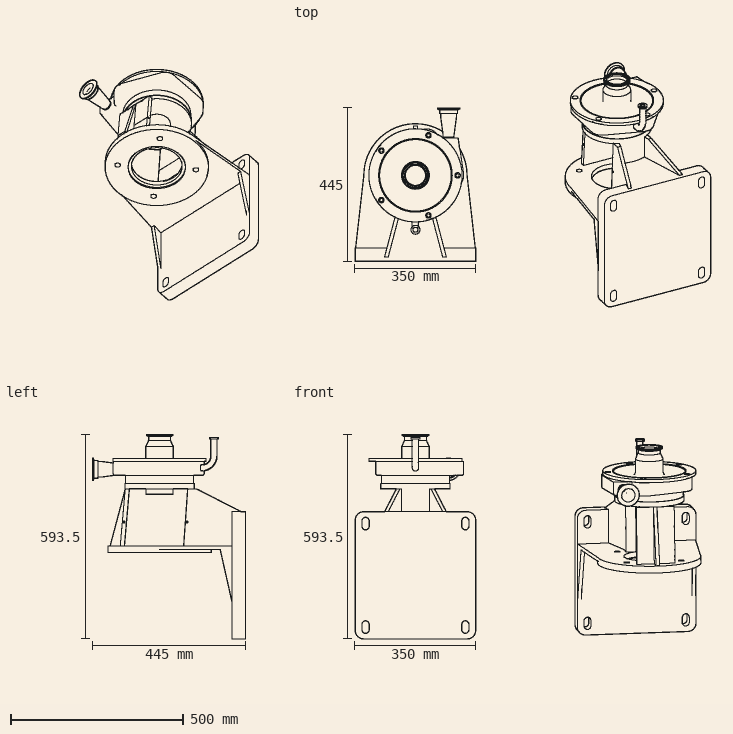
import cadquery as cq
import math

OVERLAP = 3.0

WALL_WIDTH = 350.0
WALL_HEIGHT = 370.0
WALL_THICK = 40.0
WALL_FRONT_Y = -250.0
WALL_BACK_Y = WALL_FRONT_Y + WALL_THICK
WALL_CORNER_R = 25.0
SLOT_LENGTH = 35.5
SLOT_WIDTH = 20.0
SLOT_PITCH_X = 289.5
SLOT_PITCH_Z = 300.5

TABLE_TOP_Z = 270.5
TABLE_R = 150.0
TABLE_DISC_THICK = 20.0
TABLE_SHEET_THICK = 11.0
TABLE_HALF_WIDTH = 174.0
TABLE_BORE_R = 73.5
TABLE_REGISTER_R = 83.0
TABLE_REGISTER_DEPTH = 5.0
TABLE_BOLT_CIRCLE_R = 114.0
TABLE_BOLT_D = 16.0
TABLE_BOLTS = 4
TABLE_BOLT_START_ANGLE = 45
GUSSET_REACH = 34.5
GUSSET_FOOT_Z = 107.0
RIB_THICK = 10.5

LEG_TOP_Z = 435.5
LEG_HALF_WIDTH = 56.0
FRONT_INNER_TOP_Y = -81.5
FRONT_INNER_FOOT_Y = -69.5
FRONT_BEND_Y = -108.0
REAR_INNER_TOP_Y = 87.0
REAR_INNER_FOOT_Y = 101.5
REAR_THICK = 12.5
REAR_RIB_FOOT_Y = 143.5
RIB_TIP_X = 84.0
RIB_TIP_Y = -237.0
RIB_ROOT_X = 35.5
PIN_HOLE_D = 5.5
PIN_HOLE_Z = 339.5
PIN_HOLE_YS = (-79.5, 103.0)

BEARING_LOWER_R = 101.0
BEARING_UPPER_R = 99.0
BEARING_STEP_Z = 451.0
HUB_R = 40.0
HUB_BOTTOM_Z = 419.5
HUB_FILLET = 2.5

VOLUTE_BOTTOM_Z = 475.0
VOLUTE_TOP_Z = 515.0
VOLUTE_CORNERS = 5
VOLUTE_CORNER_R = 35.0
VOLUTE_CENTRE_R = 100.0
VOLUTE_ARM_CENTRE_R = 105.0
VOLUTE_FILLET = 6.5
ARM_FACE_Y = 108.5
ARM_OUTER_X = 124.0
ARM_INNER_X = 68.0

COVER_R = 135.5
COVER_TOP_Z = 524.0
DISH_RIM_R = 107.0
DISH_LEDGE_WIDTH = 3.0
DISH_LEDGE_DEPTH = 2.0
DISH_WALL_FOOT_R = 95.0
DISH_WALL_FOOT_Z = 512.0
DISH_FLOOR_R = 83.5
DISH_FLOOR_Z = 507.5
COVER_BOLT_CIRCLE_R = 122.0
COVER_BOLT_HEAD_D = 16.0
COVER_BOLT_D = 9.5
COVER_BOLT_DEPTH = 24.0

INLET_TOP_Z = 593.5
INLET_R = 40.5
INLET_ROOT_R = 53.5
INLET_SHOULDER_Z = 558.5
INLET_NECK_Z = 576.0
INLET_NECK_R = 32.0
INLET_FLANGE_R = 38.5
INLET_FLANGE_THICK = 3.0
INLET_FLANGE_TAPER = 3.5
INLET_GROOVE_OUTER_R = 35.5
INLET_GROOVE_INNER_R = 32.0
INLET_GROOVE_DEPTH = 1.0
INLET_BORE_R = 29.0
INLET_BORE_BOTTOM_Z = 486.5

OUTLET_X = 96.0
OUTLET_Z = 492.5
OUTLET_END_Y = 195.0
OUTLET_SPIGOT_R = 14.0
OUTLET_ROOT_R = 15.5
OUTLET_ROOT_Y = ARM_FACE_Y + 3.0
OUTLET_CONE_R = 23.0
OUTLET_CONE_END_Y = 168.5
OUTLET_NECK_Y = 179.0
OUTLET_NECK_R = 26.0
OUTLET_FLANGE_R = 32.5
OUTLET_FLANGE_THICK = 3.0
OUTLET_FLANGE_TAPER = 2.5
OUTLET_WALL = 3.5
OUTLET_BORE_START_Y = ARM_FACE_Y - 18.0

DRAIN_R = 9.5
DRAIN_BORE_R = 7.0
DRAIN_Y = -158.0
DRAIN_Z = 497.0
DRAIN_BEND_R = 34.5
DRAIN_TOP_Z = 585.0
DRAIN_FLANGE_R = 13.0
DRAIN_FLANGE_THICK = 5.0
DRAIN_ROOT_Y = -116.0


def cylinder(radius, bottom_z, top_z):
    return cq.Workplane("XY").workplane(offset=bottom_z).circle(radius).extrude(top_z - bottom_z)


def prism_across_x(points, width):
    """Extrude a (y, z) outline evenly to both sides of X = 0."""
    return cq.Workplane("YZ").polyline(points).close().extrude(width / 2, both=True)


def tangent_point(point, centre, radius):
    """Touch point of the tangent from point to a circle, on the circle's +X side."""
    dx = point[0] - centre[0]
    dy = point[1] - centre[1]
    swing = math.acos(radius / math.hypot(dx, dy))
    heading = math.atan2(dy, dx)
    touches = [
        (centre[0] + radius * math.cos(angle), centre[1] + radius * math.sin(angle))
        for angle in (heading - swing, heading + swing)
    ]
    return max(touches)


def wall_plate():
    centre = (0, WALL_FRONT_Y + WALL_THICK / 2, WALL_HEIGHT / 2)
    plate = (
        cq.Workplane("XY", origin=centre)
        .box(WALL_WIDTH, WALL_THICK, WALL_HEIGHT)
        .edges("|Y")
        .fillet(WALL_CORNER_R)
    )
    slots = (
        cq.Workplane("XZ", origin=centre)
        .rarray(SLOT_PITCH_X, SLOT_PITCH_Z, 2, 2)
        .slot2D(SLOT_LENGTH, SLOT_WIDTH, 90)
        .extrude(WALL_THICK, both=True)
    )
    return plate.cut(slots)


def table():
    sheet_z = TABLE_TOP_Z - TABLE_SHEET_THICK
    plan = [
        (-TABLE_HALF_WIDTH, WALL_BACK_Y - OVERLAP),
        (TABLE_HALF_WIDTH, WALL_BACK_Y - OVERLAP),
        (TABLE_HALF_WIDTH, WALL_BACK_Y),
        (TABLE_R, 0),
        (-TABLE_R, 0),
        (-TABLE_HALF_WIDTH, WALL_BACK_Y),
    ]
    outline = cq.Workplane("XY").polyline(plan).close()
    sheet = outline.extrude(TABLE_SHEET_THICK).translate((0, 0, sheet_z))
    disc_bottom_z = TABLE_TOP_Z - TABLE_DISC_THICK
    disc = cylinder(TABLE_R, disc_bottom_z, TABLE_TOP_Z)

    triangle = [
        (WALL_BACK_Y - OVERLAP, TABLE_TOP_Z - OVERLAP),
        (WALL_BACK_Y + GUSSET_REACH, TABLE_TOP_Z - OVERLAP),
        (WALL_BACK_Y + GUSSET_REACH, sheet_z),
        (WALL_BACK_Y, GUSSET_FOOT_Z),
        (WALL_BACK_Y - OVERLAP, GUSSET_FOOT_Z),
    ]
    skirt = cq.Workplane("XY").polyline(plan).close().extrude(TABLE_TOP_Z)
    core_plan = [(x - math.copysign(RIB_THICK, x), y) for x, y in plan]
    core = cq.Workplane("XY").polyline(core_plan).close().extrude(TABLE_TOP_Z)
    gussets = prism_across_x(triangle, 2 * TABLE_HALF_WIDTH).intersect(skirt.cut(core))

    register = cylinder(TABLE_REGISTER_R, disc_bottom_z, disc_bottom_z + TABLE_REGISTER_DEPTH)
    bore = cylinder(TABLE_BORE_R, disc_bottom_z, TABLE_TOP_Z).union(register)
    bolt_holes = (
        cq.Workplane("XY")
        .polarArray(TABLE_BOLT_CIRCLE_R, TABLE_BOLT_START_ANGLE, 360, TABLE_BOLTS)
        .circle(TABLE_BOLT_D / 2)
        .extrude(TABLE_TOP_Z)
    )
    return sheet.union(disc).union(gussets).cut(bore).cut(bolt_holes)


def front_legs():
    """Curved front wall, two splayed ribs to the wall plate and a block filling the gap between them."""
    foot_z = TABLE_TOP_Z - OVERLAP
    top_z = LEG_TOP_Z + OVERLAP
    half_rib = RIB_THICK / 2
    splay = (RIB_TIP_X + half_rib - LEG_HALF_WIDTH) / (FRONT_BEND_Y - RIB_TIP_Y)
    root_y = RIB_TIP_Y + (RIB_TIP_X - half_rib - RIB_ROOT_X) / splay
    rib_plan = [
        (LEG_HALF_WIDTH, 0),
        (LEG_HALF_WIDTH, FRONT_BEND_Y),
        (RIB_TIP_X + half_rib, RIB_TIP_Y),
        (RIB_TIP_X - half_rib, RIB_TIP_Y),
        (RIB_ROOT_X, root_y),
        (RIB_ROOT_X, 0),
    ]
    base = cq.Workplane("XY").workplane(offset=foot_z)
    rib = base.polyline(rib_plan).close().extrude(top_z - foot_z)
    wall = cylinder(BEARING_LOWER_R, foot_z, top_z).intersect(
        cq.Workplane("XY").box(2 * LEG_HALF_WIDTH, 2 * BEARING_LOWER_R, 2 * top_z)
    )
    side_profile = [
        (FRONT_INNER_FOOT_Y, foot_z),
        (RIB_TIP_Y, foot_z),
        (RIB_TIP_Y, WALL_HEIGHT),
        (FRONT_BEND_Y, LEG_TOP_Z),
        (FRONT_INNER_TOP_Y, LEG_TOP_Z),
    ]
    fill_plan = [
        (-RIB_ROOT_X, root_y),
        (-RIB_TIP_X, RIB_TIP_Y),
        (RIB_TIP_X, RIB_TIP_Y),
        (RIB_ROOT_X, root_y),
    ]
    fill = base.polyline(fill_plan).close().extrude(WALL_HEIGHT - foot_z)
    legs = wall.union(fill).union(rib).union(rib.mirror("YZ"))
    return legs.intersect(prism_across_x(side_profile, WALL_WIDTH))


def rear_leg():
    """Leaning rear wall with one triangular rib behind it."""
    wall_profile = [
        (REAR_INNER_FOOT_Y, TABLE_TOP_Z),
        (REAR_INNER_FOOT_Y + REAR_THICK, TABLE_TOP_Z),
        (REAR_INNER_TOP_Y + REAR_THICK, LEG_TOP_Z),
        (REAR_INNER_TOP_Y, LEG_TOP_Z),
    ]
    rib_profile = [
        (REAR_INNER_FOOT_Y, TABLE_TOP_Z),
        (REAR_RIB_FOOT_Y, TABLE_TOP_Z),
        (REAR_INNER_TOP_Y + REAR_THICK, LEG_TOP_Z),
        (REAR_INNER_TOP_Y, LEG_TOP_Z),
    ]
    wall = prism_across_x(wall_profile, 2 * LEG_HALF_WIDTH)
    return wall.union(prism_across_x(rib_profile, RIB_THICK))


def pin_holes():
    return (
        cq.Workplane("YZ")
        .pushPoints([(y, PIN_HOLE_Z) for y in PIN_HOLE_YS])
        .circle(PIN_HOLE_D / 2)
        .extrude(LEG_HALF_WIDTH + OVERLAP, both=True)
    )


def bearing_housing():
    hub = cylinder(HUB_R, HUB_BOTTOM_Z, BEARING_STEP_Z).faces("<Z").edges().fillet(HUB_FILLET)
    lower = cylinder(BEARING_LOWER_R, LEG_TOP_Z, BEARING_STEP_Z)
    upper = cylinder(BEARING_UPPER_R, BEARING_STEP_Z, VOLUTE_BOTTOM_Z)
    return lower.union(upper).union(hub)


def volute():
    height = VOLUTE_TOP_Z - VOLUTE_BOTTOM_Z
    centres = []
    for i in range(VOLUTE_CORNERS):
        angle = 2 * math.pi * i / VOLUTE_CORNERS
        radius = VOLUTE_ARM_CENTRE_R if i < 2 else VOLUTE_CENTRE_R
        centres.append((radius * math.cos(angle), radius * math.sin(angle)))
    base = cq.Workplane("XY").workplane(offset=VOLUTE_BOTTOM_Z)
    casing = base.polyline(centres).close().offset2D(VOLUTE_CORNER_R, "arc").extrude(height)
    arm_corner = (ARM_OUTER_X, ARM_FACE_Y)
    arm_plan = [
        (0, 0),
        centres[0],
        tangent_point(arm_corner, centres[0], VOLUTE_CORNER_R),
        arm_corner,
        (ARM_INNER_X, ARM_FACE_Y),
    ]
    arm = base.polyline(arm_plan).close().extrude(height)
    return casing.union(arm).faces("<Z").edges().fillet(VOLUTE_FILLET)


def cover_bolt_pattern(diameter, depth):
    return (
        cq.Workplane("XY")
        .workplane(offset=COVER_TOP_Z)
        .polarArray(COVER_BOLT_CIRCLE_R, 0, 360, VOLUTE_CORNERS)
        .circle(diameter / 2)
        .extrude(-depth)
    )


def cover_recess():
    """Dish and counterbored bolt holes, to be cut from the cover and volute."""
    ledge_z = COVER_TOP_Z - DISH_LEDGE_DEPTH
    dish = (
        cq.Workplane("XZ")
        .moveTo(0, COVER_TOP_Z)
        .lineTo(DISH_RIM_R, COVER_TOP_Z)
        .lineTo(DISH_RIM_R, ledge_z)
        .lineTo(DISH_RIM_R - DISH_LEDGE_WIDTH, ledge_z)
        .lineTo(DISH_WALL_FOOT_R, DISH_WALL_FOOT_Z)
        .tangentArcPoint((DISH_FLOOR_R, DISH_FLOOR_Z), relative=False)
        .lineTo(0, DISH_FLOOR_Z)
        .close()
        .revolve(360, (0, 0, 0), (0, 1, 0))
    )
    heads = cover_bolt_pattern(COVER_BOLT_HEAD_D, COVER_TOP_Z - VOLUTE_TOP_Z)
    shanks = cover_bolt_pattern(COVER_BOLT_D, COVER_BOLT_DEPTH)
    return dish.union(heads).union(shanks)


def inlet():
    flange_z = INLET_TOP_Z - INLET_FLANGE_THICK
    root_fillet = INLET_ROOT_R - INLET_R
    root_top_z = DISH_FLOOR_Z + root_fillet
    diagonal = root_fillet * (1 - math.sqrt(0.5))
    return (
        cq.Workplane("XZ")
        .moveTo(0, DISH_FLOOR_Z - OVERLAP)
        .lineTo(INLET_ROOT_R, DISH_FLOOR_Z - OVERLAP)
        .lineTo(INLET_ROOT_R, DISH_FLOOR_Z)
        .threePointArc((INLET_R + diagonal, DISH_FLOOR_Z + diagonal), (INLET_R, root_top_z))
        .lineTo(INLET_R, INLET_SHOULDER_Z)
        .lineTo(INLET_NECK_R, INLET_NECK_Z)
        .lineTo(INLET_NECK_R, flange_z - INLET_FLANGE_TAPER)
        .lineTo(INLET_FLANGE_R, flange_z)
        .lineTo(INLET_FLANGE_R, INLET_TOP_Z)
        .lineTo(0, INLET_TOP_Z)
        .close()
        .revolve(360, (0, 0, 0), (0, 1, 0))
    )


def inlet_cuts():
    """Inlet bore and the gasket groove in the inlet flange face."""
    bore = cylinder(INLET_BORE_R, INLET_BORE_BOTTOM_Z, INLET_TOP_Z)
    groove = (
        cq.Workplane("XY")
        .workplane(offset=INLET_TOP_Z)
        .circle(INLET_GROOVE_OUTER_R)
        .circle(INLET_GROOVE_INNER_R)
        .extrude(-INLET_GROOVE_DEPTH)
    )
    return bore.union(groove)


def outlet_profile(points):
    """Revolve (radius, y) points about the outlet axis."""
    outline = cq.Workplane("XY", origin=(OUTLET_X, 0, OUTLET_Z)).polyline(points).close()
    return outline.revolve(360, (0, 0, 0), (0, 1, 0))


def outlet():
    flange_y = OUTLET_END_Y - OUTLET_FLANGE_THICK
    return outlet_profile([
        (0, ARM_FACE_Y - OVERLAP),
        (OUTLET_SPIGOT_R, ARM_FACE_Y - OVERLAP),
        (OUTLET_SPIGOT_R, OUTLET_ROOT_Y),
        (OUTLET_ROOT_R, OUTLET_ROOT_Y),
        (OUTLET_CONE_R, OUTLET_CONE_END_Y),
        (OUTLET_CONE_R, OUTLET_NECK_Y),
        (OUTLET_NECK_R, OUTLET_NECK_Y),
        (OUTLET_NECK_R, flange_y - OUTLET_FLANGE_TAPER),
        (OUTLET_FLANGE_R, flange_y),
        (OUTLET_FLANGE_R, OUTLET_END_Y),
        (0, OUTLET_END_Y),
    ])


def outlet_bore():
    root_r = OUTLET_SPIGOT_R - OUTLET_WALL
    mouth_r = OUTLET_CONE_R - OUTLET_WALL
    return outlet_profile([
        (0, OUTLET_BORE_START_Y),
        (root_r, OUTLET_BORE_START_Y),
        (root_r, OUTLET_ROOT_Y),
        (mouth_r, OUTLET_CONE_END_Y),
        (mouth_r, OUTLET_END_Y),
        (0, OUTLET_END_Y),
    ])


def drain_sweep(radius):
    bend_y = DRAIN_Y + DRAIN_BEND_R
    bend_z = DRAIN_Z + DRAIN_BEND_R
    reach = DRAIN_BEND_R * math.sqrt(0.5)
    path = (
        cq.Workplane("YZ")
        .moveTo(DRAIN_Y, DRAIN_TOP_Z)
        .lineTo(DRAIN_Y, bend_z)
        .threePointArc((bend_y - reach, bend_z - reach), (bend_y, DRAIN_Z))
        .lineTo(DRAIN_ROOT_Y, DRAIN_Z)
    )
    return cq.Workplane("XY", origin=(0, DRAIN_Y, DRAIN_TOP_Z)).circle(radius).sweep(path)


def drain():
    flange = cylinder(DRAIN_FLANGE_R, DRAIN_TOP_Z - DRAIN_FLANGE_THICK, DRAIN_TOP_Z)
    return drain_sweep(DRAIN_R).union(flange.translate((0, DRAIN_Y, 0)))


bracket = wall_plate().union(table()).union(front_legs()).union(rear_leg()).cut(pin_holes())
cover = cylinder(COVER_R, VOLUTE_TOP_Z, COVER_TOP_Z)
pump = bearing_housing().union(volute()).union(cover).cut(cover_recess())
pump = pump.union(inlet()).cut(inlet_cuts())
pump = pump.union(outlet()).cut(outlet_bore())
pump = pump.union(drain()).cut(drain_sweep(DRAIN_BORE_R))
result = bracket.union(pump)